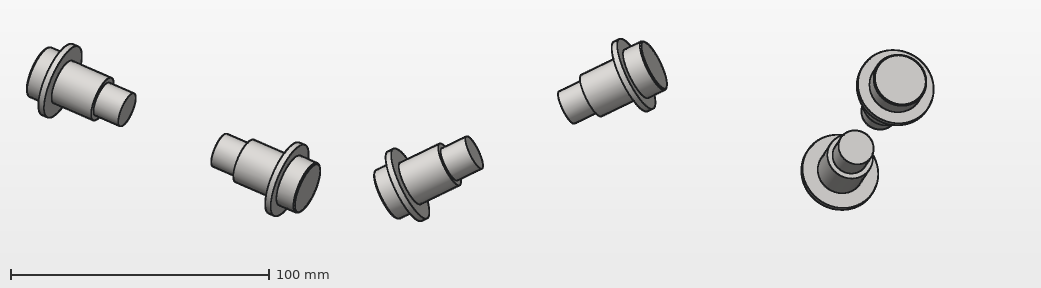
import cadquery as cq

overall_length = 119.2

head_diameter = 21.0
head_length = 8.0
head_chamfer = 0.5

shank_diameter = 18.0
washer_diameter = 30.0
washer_thickness = 2.5
exposed_shank_length = 17.5
shank_length = washer_thickness + exposed_shank_length

tip_diameter = 14.0
tip_length = 11.0

head_face_x = overall_length / 2


def make_pin():
    """Left pin: chamfered head, shank and reduced tip, pointing along +X."""
    head = (
        cq.Workplane("YZ", origin=(-head_face_x, 0, 0))
        .circle(head_diameter / 2)
        .extrude(head_length)
        .faces("<X")
        .chamfer(head_chamfer)
    )
    shank = head.faces(">X").workplane().circle(shank_diameter / 2).extrude(shank_length)
    return shank.faces(">X").workplane().circle(tip_diameter / 2).extrude(tip_length)


def make_washer():
    """Left washer: flat ring around the shank, touching the inner face of the head."""
    return (
        cq.Workplane("YZ", origin=(-head_face_x + head_length, 0, 0))
        .circle(washer_diameter / 2)
        .circle(shank_diameter / 2)
        .extrude(washer_thickness)
    )


bodies = []
for turn in (0, 180):
    for make_body in (make_pin, make_washer):
        body = make_body().rotate((0, 0, 0), (0, 0, 1), turn)
        bodies.append(body.val())

result = cq.Compound.makeCompound(bodies)